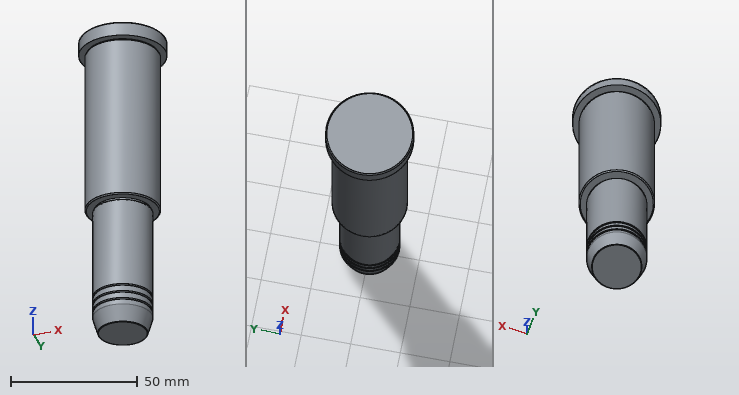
import cadquery as cq

total_length = 131.0
head_radius = 17.5
head_thickness = 6.0
head_chamfer = 0.5
shank_radius = 15.0
shank_bottom = 55.0
shank_chamfer = 0.5
relief_height = 0.8
relief_depth = 0.5
pin_radius = 11.99
neck_height = 1.0
neck_depth = 0.5
nose_height = 7.0
nose_tip_radius = 10.0
nose_mid_bulge = 0.07
tip_chamfer = 0.3
groove_depth = 0.4
groove_width = 0.8
groove_middles = [15.7, 12.6, 9.4]

head_bottom = total_length - head_thickness


def make_body():
    """Revolve the stepped pin with its curved, tapered nose."""
    neck_bottom = shank_bottom - neck_height
    neck_radius = pin_radius - neck_depth
    relief_radius = shank_radius - relief_depth
    nose_mid = ((pin_radius + nose_tip_radius) / 2 + nose_mid_bulge, (nose_height + tip_chamfer) / 2)
    profile = (
        cq.Workplane("XZ")
        .moveTo(0, 0)
        .lineTo(nose_tip_radius - tip_chamfer, 0)
        .lineTo(nose_tip_radius, tip_chamfer)
        .threePointArc(nose_mid, (pin_radius, nose_height))
        .lineTo(pin_radius, neck_bottom)
        .lineTo(neck_radius, neck_bottom)
        .lineTo(neck_radius, shank_bottom)
        .lineTo(shank_radius - shank_chamfer, shank_bottom)
        .lineTo(shank_radius, shank_bottom + shank_chamfer)
        .lineTo(shank_radius, head_bottom - relief_height)
        .lineTo(relief_radius, head_bottom - relief_height + relief_depth)
        .lineTo(relief_radius, head_bottom)
        .lineTo(head_radius, head_bottom)
        .lineTo(head_radius, total_length - head_chamfer)
        .lineTo(head_radius - head_chamfer, total_length)
        .lineTo(0, total_length)
        .close()
    )
    return profile.revolve(360, (0, 0, 0), (0, 1, 0))


def make_v_groove(middle):
    """Return the ring that cuts a symmetric V groove around the pin."""
    half_width = groove_width / 2
    return (
        cq.Workplane("XZ")
        .moveTo(pin_radius, middle - half_width)
        .lineTo(pin_radius - groove_depth, middle)
        .lineTo(pin_radius, middle + half_width)
        .close()
        .revolve(360, (0, 0, 0), (0, 1, 0))
    )


result = make_body()

for groove_middle in groove_middles:
    result = result.cut(make_v_groove(groove_middle))